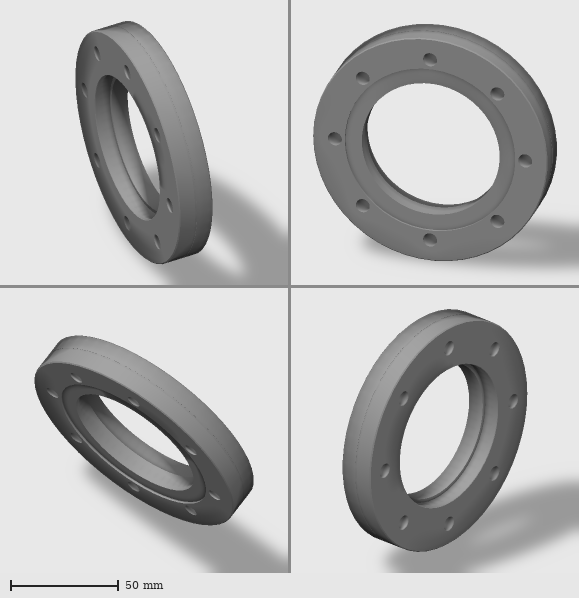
import cadquery as cq

outer_diameter = 113.5
thickness = 17.3
bore_diameter = 66.7
outer_chamfer = 0.5

counterbore_diameter = 70.3
counterbore_depth = 7.7
counterbore_chamfer = 0.2

recess_diameter = 82.5
recess_depth = 1.1

groove_width = 0.9
groove_depth = 0.1

hole_count = 8
hole_diameter = 6.7
hole_chamfer = 0.2
bolt_circle_diameter = 92.2

countersink_angle = 45

front_y = -thickness / 2
rear_y = thickness / 2


def cross_section(y):
    """Workplane across the ring axis at position y, facing +Y."""
    return cq.Workplane(cq.Plane(origin=(0, y, 0), xDir=(1, 0, 0), normal=(0, 1, 0)))


def disc(diameter, length, start_y):
    """Solid disc on the Y axis, reaching from start_y towards +Y."""
    return cross_section(start_y).circle(diameter / 2).extrude(length)


def front_countersink(diameter, size):
    """Cone that breaks the edge of a hole in the front face by size."""
    return cross_section(front_y).circle(diameter / 2 + size).extrude(size, taper=countersink_angle)


def rim_groove():
    """Band that is removed from the rim."""
    start_y = -groove_width / 2
    floor_diameter = outer_diameter - 2 * groove_depth
    band = disc(outer_diameter, groove_width, start_y)
    return band.cut(disc(floor_diameter, groove_width, start_y))


def bolt_hole():
    """Through hole on the Y axis, with its front edge broken."""
    hole = disc(hole_diameter, thickness, front_y)
    return hole.union(front_countersink(hole_diameter, hole_chamfer))


ring = disc(outer_diameter, thickness, front_y).edges("%CIRCLE").chamfer(outer_chamfer)

ring = ring.cut(disc(bore_diameter, thickness, front_y))
ring = ring.cut(disc(counterbore_diameter, counterbore_depth, front_y))
ring = ring.cut(front_countersink(counterbore_diameter, counterbore_chamfer))
ring = ring.cut(disc(recess_diameter, recess_depth, rear_y - recess_depth))

ring = ring.cut(rim_groove())

first_hole = bolt_hole().translate((bolt_circle_diameter / 2, 0, 0))
for index in range(hole_count):
    angle = index * 360 / hole_count
    ring = ring.cut(first_hole.rotate((0, 0, 0), (0, 1, 0), angle))

result = ring